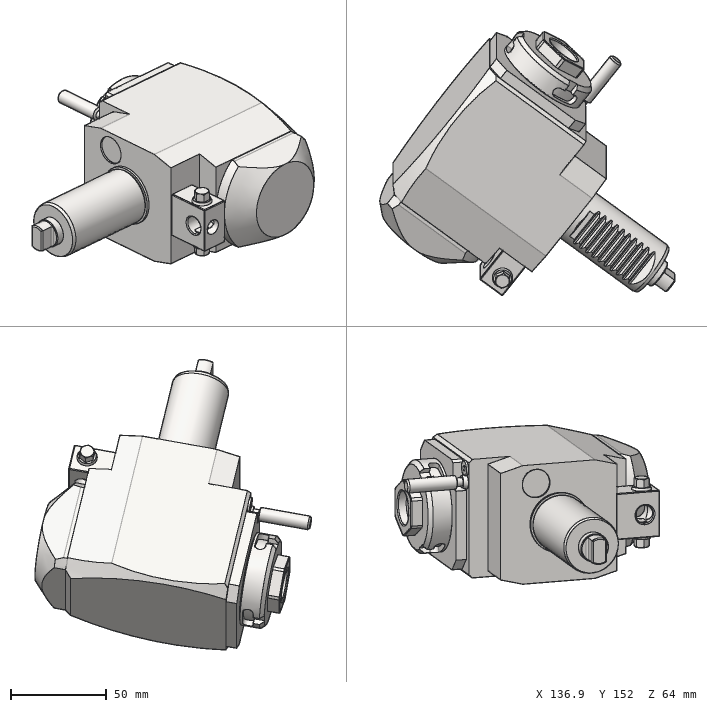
import cadquery as cq
import math


housing_height = 64.0
half_height = housing_height / 2
back_y = 85.0
step_y = 21.3
head_left = -42.4
head_right = 44.1
head_left_chamfer = 1.8
head_right_chamfer = 3.5
base_half_width = 32.0
taper_start = 19.9
taper_slope = math.tan(math.radians(15))
crown_radius = 168.7
crown_centre_x = -10.5
crown_setback = 1.4
plug_x, plug_z = -12.5, 21.7
plug_radius = 7.6
plug_depth = 1.0

spindle_y = 55.0
cap_radius = 33.5
cap_cone_start = 50.2
cap_end = 61.5
cap_end_radius = 21.1
cap_back_y = 81.3
cap_half_height = 25.2
cap_taper_start = 46.0

plate_left = -48.0
plate_height = 59.5
plate_half_height = plate_height / 2
plate_back, plate_front = 84.5, 25.8
plate_corner = 6.8
notch_y, notch_z = 31.3, 14.3
notch_corner = 1.4
notch_radius = 4.7

nut_left, nut_right = -61.3, -48.6
nut_radius = 24.6
nut_chamfer = 2.1
nut_neck_radius = 22.8
key_width = 6.1
key_floor_radius = 21.6
oval_x = -52.9
oval_width = 5.6
oval_length = 16.4
slot_count = 3

hex_left = -67.6
hex_flats = 26.9
hex_corner_radius = 15.0
hex_chamfer = 0.5
bore_radius = 9.5
bore_depth = 4.9
bore_chamfer = 0.6

pin_y, pin_z = 26.5, 19.0
pin_left, pin_right = -75.4, -48.5
pin_radius = 3.6
pin_chamfer = 0.9
pin_neck_left, pin_neck_right = -47.7, -44.7
pin_neck_radius = 2.3
pin_flange_radius = 3.2
pin_seat_radius = 4.1
screw_y, screw_z = 26.5, 26.1
screw_radius = 4.1
screw_height = 1.0
screw_hole_radius = 1.4

shank_radius = 15.0
shank_end = -54.9
shank_chamfer = 0.6
shank_chamfer_length = 1.8
flange_radius = 16.0
flange_length = 1.4
groove_length = 2.1
groove_radius = 14.6
collar_radius = 7.6
collar_end = -59.5
collar_chamfer = 0.5
tang_radius = 7.1
tang_end = -67.0
tang_half_width = 4.0
tang_chamfer = 0.6
tang_fillet = 0.9

rack_tip_z, rack_root_z = -12.3, -10.3
rack_start, rack_start_chamfer = -7.0, 0.9
rack_count = 10
rack_first_gap, rack_last_gap = -11.5, -47.9
rack_pitch = (rack_first_gap - rack_last_gap) / (rack_count - 1)
gap_root_width, gap_tip_width = 0.9, 3.0
rack_end_y = -52.0

block_right = 56.1
block_half_height = 12.5
block_front, block_back = 1.0, 16.1
block_chamfer = 0.5
block_bore_x, block_bore_radius = 47.9, 4.9
block_bore_chamfer = 0.6
block_port_radius = 4.1
bolt_x, bolt_y = 48.0, 7.1
bolt_washer_radius, bolt_washer_top_radius = 5.3, 4.7
bolt_washer_height = 1.4
bolt_flats = 7.1
bolt_top_z = 18.5
bolt_chamfer = 0.6
bolt_stem_radius = 3.8
bolt_stem_end = 4.4

overlap = 1.5


def turned_x(profile, y, z):
    """Solid of revolution about an X-parallel axis through (y, z); profile points are (x, radius)."""
    wire = cq.Workplane("XY", origin=(0, y, z)).polyline(profile).close()
    return wire.revolve(360, (0, 0, 0), (1, 0, 0))


def extrude_y(outline, y_low, y_high):
    """Prism along Y over an outline of (x, z) points."""
    return cq.Workplane("XZ", origin=(0, y_high, 0)).polyline(outline).close().extrude(y_high - y_low)


def mirrored_in_z(points):
    """Close an upper outline with its mirror image below Z = 0."""
    return points + [(x, -z) for x, z in reversed(points)]


def tapered_z(x):
    """Height of the tapered top face at a distance x from the shank axis."""
    return half_height - (abs(x) - taper_start) * taper_slope


def crown_cutter():
    """Block outside the bowed 45-degree bevel along the upper back edge."""
    reach = 68.4
    drop = crown_radius - math.sqrt(crown_radius**2 - reach**2)
    edge = cq.Plane(
        origin=(crown_centre_x, back_y, half_height), xDir=(1, 0, 0), normal=(0, -1, 1)
    )
    return (
        cq.Workplane(edge)
        .moveTo(-reach, -crown_setback - drop)
        .threePointArc((0, -crown_setback), (reach, -crown_setback - drop))
        .lineTo(reach, reach)
        .lineTo(-reach, reach)
        .close()
        .extrude(reach, both=True)
    )


def housing():
    head_outline = mirrored_in_z([
        (head_left, half_height - head_left_chamfer),
        (head_left + head_left_chamfer, half_height),
        (taper_start, half_height),
        (head_right, tapered_z(head_right)),
    ])
    head = extrude_y(head_outline, step_y, back_y)
    head = head.edges("|Z and >X and >Y").chamfer(head_right_chamfer)
    crown = crown_cutter()
    head = head.cut(crown).cut(crown.mirror("XY"))
    base_outline = mirrored_in_z([
        (-base_half_width, tapered_z(base_half_width)),
        (-taper_start, half_height),
        (taper_start, half_height),
        (base_half_width, tapered_z(base_half_width)),
    ])
    base = extrude_y(base_outline, 0, step_y + overlap)
    plug_recess = cq.Workplane("XZ").center(plug_x, plug_z).circle(plug_radius).extrude(-plug_depth)
    return head.union(base).cut(plug_recess)


def end_cap():
    start = head_right - overlap
    cap = turned_x(
        [
            (start, 0),
            (start, cap_radius),
            (cap_cone_start, cap_radius),
            (cap_end, cap_end_radius),
            (cap_end, 0),
        ],
        spindle_y,
        0,
    )
    end_z = cap_half_height - (cap_end - cap_taper_start) * taper_slope
    envelope = mirrored_in_z([
        (start, cap_half_height),
        (cap_taper_start, cap_half_height),
        (cap_end, end_z),
    ])
    return cap.intersect(extrude_y(envelope, spindle_y - cap_radius, cap_back_y))


def front_plate():
    width = plate_back - plate_front
    thickness = head_left + overlap - plate_left
    plate = (
        cq.Workplane("YZ", origin=(plate_left, (plate_back + plate_front) / 2, 0))
        .rect(width, 2 * plate_half_height)
        .extrude(thickness)
        .edges("|X")
        .edges(">Y or <Z")
        .chamfer(plate_corner)
    )
    notch = (
        cq.Workplane("YZ", origin=(plate_left, 0, 0))
        .moveTo(plate_front - overlap, notch_z)
        .lineTo(notch_y, notch_z)
        .lineTo(notch_y, plate_half_height - notch_corner)
        .lineTo(notch_y + notch_corner, plate_half_height)
        .lineTo(plate_front - overlap, plate_half_height)
        .close()
        .extrude(head_left - plate_left)
        .faces("<Z")
        .edges("|X and >Y")
        .fillet(notch_radius)
    )
    return plate.cut(notch)


def nut_slot(angle):
    """Flat-floored key slot from the nut's face running into an oval slot with a round floor."""
    depth = nut_radius - key_floor_radius + overlap
    floor = cq.Workplane("XY", origin=(0, spindle_y, key_floor_radius))
    key = floor.moveTo((nut_left + oval_x) / 2, 0).rect(oval_x - nut_left, key_width).extrude(depth)
    oval = (
        cq.Workplane("XY", origin=(oval_x, spindle_y, 0))
        .slot2D(oval_length, oval_width, 90)
        .extrude(key_floor_radius + depth)
    )
    core = turned_x(
        [(nut_left, 0), (nut_left, key_floor_radius), (nut_right, key_floor_radius), (nut_right, 0)],
        spindle_y,
        0,
    )
    oval = oval.cut(core)
    axis_start = (0, spindle_y, 0)
    axis_end = (1, spindle_y, 0)
    return key.union(oval).rotate(axis_start, axis_end, angle - 90)


def clamping_nut():
    nut = turned_x(
        [
            (nut_left, 0),
            (nut_left, nut_radius - nut_chamfer),
            (nut_left + nut_chamfer, nut_radius),
            (nut_right, nut_radius),
            (nut_right, nut_neck_radius),
            (plate_left + overlap, nut_neck_radius),
            (plate_left + overlap, 0),
        ],
        spindle_y,
        0,
    )
    for index in range(slot_count):
        nut = nut.cut(nut_slot(index * 360 / slot_count))
    return nut


def spindle_hexagon():
    face = cq.Workplane("YZ", origin=(hex_left, spindle_y, 0))
    length = nut_left + overlap - hex_left
    hexagon = face.polygon(6, hex_flats, circumscribed=True).extrude(length)
    rounding = face.circle(hex_corner_radius).extrude(length)
    hexagon = hexagon.intersect(rounding)
    hexagon = hexagon.faces("<X").edges().chamfer(hex_chamfer)
    bore = turned_x(
        [
            (hex_left, 0),
            (hex_left, bore_radius),
            (hex_left + bore_chamfer, bore_radius - bore_chamfer),
            (hex_left + bore_depth, bore_radius - bore_chamfer),
            (hex_left + bore_depth, 0),
        ],
        spindle_y,
        0,
    )
    return hexagon.cut(bore)


def coolant_pin():
    return turned_x(
        [
            (pin_left, 0),
            (pin_left, pin_radius - pin_chamfer),
            (pin_left + pin_chamfer, pin_radius),
            (pin_right, pin_radius),
            (pin_neck_left, pin_neck_radius),
            (pin_neck_right, pin_neck_radius),
            (pin_neck_right, pin_flange_radius),
            (head_left, pin_seat_radius),
            (head_left + overlap, pin_seat_radius),
            (head_left + overlap, 0),
        ],
        pin_y,
        pin_z,
    )


def retaining_screw():
    face = cq.Workplane("YZ", origin=(head_left - screw_height, screw_y, screw_z))
    screw = face.circle(screw_radius).extrude(screw_height + overlap)
    return screw.cut(face.circle(screw_hole_radius).extrude(screw_height))


def rack_cutter():
    below = -flange_radius - overlap
    outline = [
        (rack_start + rack_start_chamfer, below),
        (rack_start + rack_start_chamfer, -shank_radius),
        (rack_start, -shank_radius + rack_start_chamfer),
        (rack_start, rack_tip_z),
    ]
    for index in range(rack_count):
        gap_y = rack_first_gap - index * rack_pitch
        outline += [
            (gap_y + gap_tip_width / 2, rack_tip_z),
            (gap_y + gap_root_width / 2, rack_root_z),
            (gap_y - gap_root_width / 2, rack_root_z),
        ]
        if index < rack_count - 1:
            outline.append((gap_y - gap_tip_width / 2, rack_tip_z))
    outline += [(rack_end_y, -shank_radius), (rack_end_y, below)]
    return cq.Workplane("YZ").polyline(outline).close().extrude(shank_radius, both=True)


def shank():
    profile = [
        (0, overlap),
        (flange_radius, overlap),
        (flange_radius, -flange_length),
        (groove_radius, -flange_length),
        (shank_radius, -groove_length),
        (shank_radius, shank_end + shank_chamfer_length),
        (shank_radius - shank_chamfer, shank_end),
        (collar_radius, shank_end),
        (collar_radius, collar_end + collar_chamfer),
        (collar_radius - collar_chamfer, collar_end),
        (0, collar_end),
    ]
    turned = cq.Workplane("XY").polyline(profile).close().revolve(360, (0, 0, 0), (0, 1, 0))
    tang_start = cq.Workplane("XZ", origin=(0, collar_end + overlap, 0))
    tang_length = collar_end + overlap - tang_end
    root_half_width = tang_half_width + tang_fillet
    flats = (
        cq.Workplane("XY", origin=(0, 0, -tang_radius))
        .moveTo(-root_half_width, collar_end + overlap)
        .lineTo(root_half_width, collar_end + overlap)
        .lineTo(root_half_width, collar_end)
        .radiusArc((tang_half_width, collar_end - tang_fillet), -tang_fillet)
        .lineTo(tang_half_width, tang_end)
        .lineTo(-tang_half_width, tang_end)
        .lineTo(-tang_half_width, collar_end - tang_fillet)
        .radiusArc((-root_half_width, collar_end), -tang_fillet)
        .close()
        .extrude(2 * tang_radius)
    )
    tang = tang_start.circle(tang_radius).extrude(tang_length).intersect(flats)
    tang = tang.faces("<Y").edges().chamfer(tang_chamfer)
    return turned.cut(rack_cutter()).union(tang)


def block_bolt():
    """Flanged hexagon screw in the block's upper face."""
    stem_and_washer = (
        cq.Workplane("XZ", origin=(bolt_x, bolt_y, 0))
        .polyline([
            (0, bolt_stem_end),
            (bolt_stem_radius, bolt_stem_end),
            (bolt_stem_radius, block_half_height),
            (bolt_washer_radius, block_half_height),
            (bolt_washer_top_radius, block_half_height + bolt_washer_height),
            (0, block_half_height + bolt_washer_height),
        ])
        .close()
        .revolve(360, (0, 0, 0), (0, 1, 0))
    )
    base = cq.Workplane("XY", origin=(bolt_x, bolt_y, block_half_height))
    height = bolt_top_z - block_half_height
    hexagon = base.polygon(6, bolt_flats, circumscribed=True).extrude(height)
    corner_radius = bolt_flats / 2 / math.cos(math.pi / 6)
    rounding = base.circle(corner_radius).extrude(height).faces(">Z").chamfer(bolt_chamfer)
    return stem_and_washer.union(hexagon.intersect(rounding))


def side_block():
    left = base_half_width - overlap
    outline = mirrored_in_z([(left, block_half_height), (block_right, block_half_height)])
    block = extrude_y(outline, block_front, block_back)
    block = block.faces(">X or >Z or <Z").edges("not <X").chamfer(block_chamfer)
    bore = (
        cq.Workplane("XZ", origin=(block_bore_x, block_back, 0))
        .circle(block_bore_radius)
        .extrude(block_back - block_front)
    )
    mouth = (
        cq.Workplane("XZ", origin=(block_bore_x, block_front, 0))
        .circle(block_bore_radius + block_bore_chamfer)
        .workplane(offset=-block_bore_chamfer)
        .circle(block_bore_radius)
        .loft()
    )
    port = (
        cq.Workplane("YZ", origin=(block_bore_x, bolt_y, 0))
        .circle(block_port_radius)
        .extrude(block_right - block_bore_x)
    )
    bolt = block_bolt()
    return block.cut(bore).cut(mouth).cut(port).union(bolt).union(bolt.mirror("XY"))


result = housing()
for piece in (
    end_cap(),
    front_plate(),
    clamping_nut(),
    spindle_hexagon(),
    coolant_pin(),
    retaining_screw(),
    shank(),
    side_block(),
):
    result = result.union(piece)